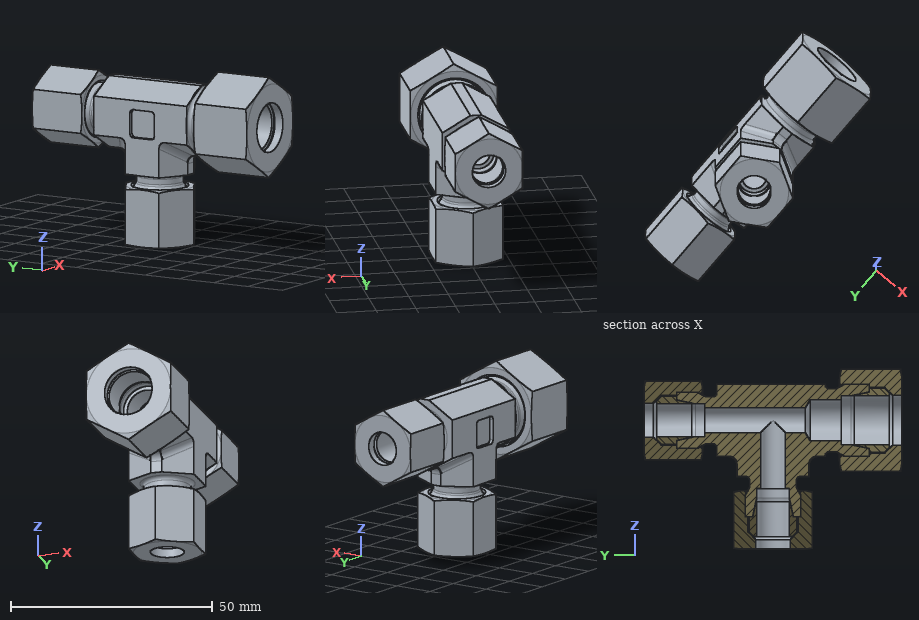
import cadquery as cq
import math


hex_width = 17.0
trimmed_half = 9.0
run_end_small = 14.0
run_end_large = 13.0
branch_end = 14.0
crotch_radius = 2.0

tube_stop = 17.0
stub_end = 24.0
nut_end = 32.0

taper_half_angle = math.radians(59)
taper_narrow_end = 8.0

undercut_radius = 1.0
undercut_flat = 1.35
undercut_exit_angle = math.radians(30)

cone_half_angle = math.radians(12)
cone_depth = 1.0
ring_nose_wall = 0.2
ring_collar_wall = 2.0
ring_back = 28.9

thread_depth_on_diameter = 1.62
tube_clearance = 0.38
nut_cone_start = 29.7
nut_entry_clearance = 0.3
nut_inner_bevel = math.radians(15)
nut_outer_bevel = math.radians(10)

badge_size = 7.1
badge_z = -1.0
badge_corner = 1.0
badge_depth = 1.0

small_port = {
    "tube": 8.0,
    "bore": 6.0,
    "thread": 14.0,
    "undercut": 11.7,
    "nut_width": 17.0,
    "nut_length": 14.5,
}
large_port = {
    "tube": 12.0,
    "bore": 10.0,
    "thread": 18.0,
    "undercut": 15.7,
    "nut_width": 22.0,
    "nut_length": 15.5,
}


def turn_about_x(shape, angle):
    return shape.rotate((0, 0, 0), (1, 0, 0), angle)


TO_PLUS_Y = -90
TO_MINUS_Y = 90
TO_MINUS_Z = 180

ports = [
    (TO_PLUS_Y, small_port, run_end_small),
    (TO_MINUS_Z, small_port, branch_end),
    (TO_MINUS_Y, large_port, run_end_large),
]


def profile_start(r, z):
    return cq.Workplane("XZ").moveTo(r, z)


def revolved(profile):
    """Close an (r, z) profile and revolve it about the Z axis."""
    return profile.close().revolve(360, (0, 0, 0), (0, 1, 0))


def hex_prism(width, z_start, z_end):
    """Hexagonal prism along Z with two flats facing +/-X."""
    corner_diameter = width / math.cos(math.radians(30))
    return (
        cq.Workplane("XY", origin=(0, 0, z_start))
        .transformed(rotate=(0, 0, 30))
        .polygon(6, corner_diameter)
        .extrude(z_end - z_start)
    )


def trimmed_bar(z_start, z_end):
    """Hexagonal bar whose +/-Y corners are cut flat."""
    flats = cq.Workplane("XY").box(2 * hex_width, 2 * trimmed_half, 4 * hex_width)
    return hex_prism(hex_width, z_start, z_end).intersect(flats)


def is_crotch_edge(edge):
    """Edges between run and branch lie on the planes |y| = -z, below the run axis."""
    center = edge.Center()
    tolerance = 1e-3
    return center.z < -tolerance and abs(abs(center.y) + center.z) < tolerance


def tee_block():
    run = turn_about_x(trimmed_bar(-run_end_small, run_end_large), TO_MINUS_Y)
    branch = turn_about_x(trimmed_bar(0, branch_end), TO_MINUS_Z)
    block = run.union(branch)
    crotch_edges = [edge for edge in block.edges().vals() if is_crotch_edge(edge)]
    return block.newObject(crotch_edges).fillet(crotch_radius)


def stub(port, start):
    """Solid threaded stub with a rounded undercut at its root."""
    root = port["undercut"] / 2
    thread = port["thread"] / 2
    flat_start = start + undercut_radius
    flat_end = flat_start + undercut_flat

    def root_arc(angle):
        """Radius and axial run of the undercut rounding after turning through an angle."""
        rise = undercut_radius * (1 - math.cos(angle))
        return root + rise, undercut_radius * math.sin(angle)

    entry_r, entry_run = root_arc(math.radians(45))
    exit_mid_r, exit_mid_run = root_arc(undercut_exit_angle / 2)
    exit_r, exit_run = root_arc(undercut_exit_angle)
    thread_start = flat_end + exit_run + (thread - exit_r) / math.tan(undercut_exit_angle)
    return revolved(
        profile_start(0, start)
        .lineTo(root + undercut_radius, start)
        .threePointArc((entry_r, flat_start - entry_run), (root, flat_start))
        .lineTo(root, flat_end)
        .threePointArc((exit_mid_r, flat_end + exit_mid_run), (exit_r, flat_end + exit_run))
        .lineTo(thread, thread_start)
        .lineTo(thread, stub_end)
        .lineTo(0, stub_end)
    )


def socket(port):
    """Tube socket with its sealing cone, cut into the end of a stub."""
    tube = port["tube"] / 2
    cone_length = cone_depth / math.tan(cone_half_angle)
    return revolved(
        profile_start(0, tube_stop)
        .lineTo(tube, tube_stop)
        .lineTo(tube, stub_end - cone_length)
        .lineTo(tube + cone_depth, stub_end)
        .lineTo(0, stub_end)
    )


def bore(port):
    """Flow bore from the origin to the tube stop, narrowing to the small bore where larger."""
    wide = port["bore"] / 2
    narrow = small_port["bore"] / 2
    profile = profile_start(0, 0).lineTo(narrow, 0)
    if wide > narrow:
        taper_length = (wide - narrow) / math.tan(taper_half_angle)
        profile = profile.lineTo(narrow, taper_narrow_end).lineTo(wide, taper_narrow_end + taper_length)
    return revolved(profile.lineTo(wide, tube_stop).lineTo(0, tube_stop))


def badge_recess():
    return (
        cq.Workplane("YZ", origin=(-hex_width / 2, 0, badge_z))
        .rect(badge_size, badge_size)
        .extrude(badge_depth)
        .edges("|X")
        .fillet(badge_corner)
    )


def make_tee_body():
    body = tee_block()
    for direction, port, start in ports:
        body = body.union(turn_about_x(stub(port, start), direction))
    for direction, port, _ in ports:
        body = body.cut(turn_about_x(socket(port), direction))
        body = body.cut(turn_about_x(bore(port), direction))
    return body.cut(badge_recess())


def pressure_cone_radius(port, z):
    """Radius of the nut's 45 degree pressure cone at a height z."""
    return (port["tube"] + tube_clearance) / 2 + nut_cone_start - z


def make_cutting_ring(port):
    """Ring whose nose fills the sealing cone and whose back rests on the nut's pressure cone."""
    tube = port["tube"] / 2
    collar = tube + ring_collar_wall
    nose_tip = stub_end - (cone_depth - ring_nose_wall) / math.tan(cone_half_angle)
    back_radius = pressure_cone_radius(port, ring_back)
    collar_end = ring_back - (collar - back_radius)
    return revolved(
        profile_start(tube, nose_tip)
        .lineTo(tube + ring_nose_wall, nose_tip)
        .lineTo(tube + cone_depth, stub_end)
        .lineTo(collar, stub_end)
        .lineTo(collar, collar_end)
        .lineTo(back_radius, ring_back)
        .lineTo(tube, ring_back)
    )


def nut_blank(port, inner_end):
    """Hexagonal blank with its corners turned off at both ends."""
    flat = port["nut_width"] / 2
    corner = flat / math.cos(math.radians(30))
    inner_bevel_length = (corner - flat) * math.tan(nut_inner_bevel)
    outer_bevel_length = (corner - flat) * math.tan(nut_outer_bevel)
    turned = revolved(
        profile_start(0, inner_end)
        .lineTo(flat, inner_end)
        .lineTo(corner, inner_end + inner_bevel_length)
        .lineTo(corner, nut_end - outer_bevel_length)
        .lineTo(flat, nut_end)
        .lineTo(0, nut_end)
    )
    return hex_prism(port["nut_width"], inner_end, nut_end).intersect(turned)


def nut_cavity(port, inner_end):
    """45 degree entry, core bore, pressure cone and tube hole."""
    entry = (port["thread"] + nut_entry_clearance) / 2
    core = (port["thread"] - thread_depth_on_diameter) / 2
    tube_hole = (port["tube"] + tube_clearance) / 2
    return revolved(
        profile_start(0, inner_end)
        .lineTo(entry, inner_end)
        .lineTo(core, inner_end + entry - core)
        .lineTo(core, nut_cone_start - (core - tube_hole))
        .lineTo(tube_hole, nut_cone_start)
        .lineTo(tube_hole, nut_end)
        .lineTo(0, nut_end)
    )


def make_nut(port, start):
    """Nut bored to its core diameter and opened up to the thread where the stub screws in."""
    inner_end = nut_end - port["nut_length"]
    return nut_blank(port, inner_end).cut(nut_cavity(port, inner_end)).cut(stub(port, start))


tee_body = make_tee_body()
cutting_rings = []
nuts = []
for direction, port, start in ports:
    cutting_rings.append(turn_about_x(make_cutting_ring(port), direction).solids().val())
    nuts.append(turn_about_x(make_nut(port, start), direction).solids().val())

result = cq.Compound.makeCompound([tee_body.solids().val(), *cutting_rings, *nuts])